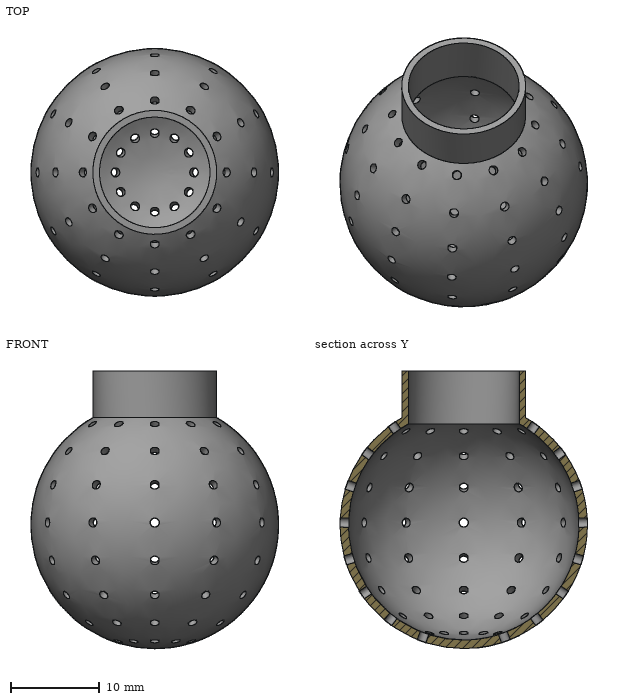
import cadquery as cq
import math

total_height = 31.4
sphere_diameter = 28.0
neck_outer_diameter = 14.0
neck_inner_diameter = 12.5
sphere_wall = 1.0

hole_diameter = 1.0
holes_per_ring = 12
latitude_step = 17.8
rings_below_middle = 4
rings_above_middle = 3
middle_ring_latitude = 1.1

outer_radius = sphere_diameter / 2
inner_radius = outer_radius - sphere_wall
neck_top = total_height - outer_radius


def neck_cylinder(diameter):
    """Upright cylinder from the sphere centre to the neck rim."""
    return cq.Workplane("XY").circle(diameter / 2).extrude(neck_top)


def hollow_body():
    """Thin spherical shell with an open tubular neck on top."""
    outside = cq.Workplane("XY").sphere(outer_radius).union(neck_cylinder(neck_outer_diameter))
    inside = cq.Workplane("XY").sphere(inner_radius).union(neck_cylinder(neck_inner_diameter))
    return outside.cut(inside)


def radial_drill(latitude, azimuth):
    """Cylinder along a sphere radius, from inside the hollow out through the wall."""
    direction = cq.Vector(
        math.cos(latitude) * math.cos(azimuth),
        math.cos(latitude) * math.sin(azimuth),
        math.sin(latitude),
    )
    drill_start = inner_radius - sphere_wall
    drill_length = 3 * sphere_wall
    start = direction * drill_start
    return cq.Solid.makeCylinder(hole_diameter / 2, drill_length, start, direction)


def spray_drills():
    """Cutters for all the spray holes, ring by ring from the bottom up."""
    drills = []
    for ring in range(-rings_below_middle, rings_above_middle + 1):
        latitude = math.radians(middle_ring_latitude + ring * latitude_step)
        for position in range(holes_per_ring):
            azimuth = math.radians(position * 360 / holes_per_ring)
            drills.append(radial_drill(latitude, azimuth))
    return cq.Workplane("XY").newObject([cq.Compound.makeCompound(drills)])


result = hollow_body().cut(spray_drills())